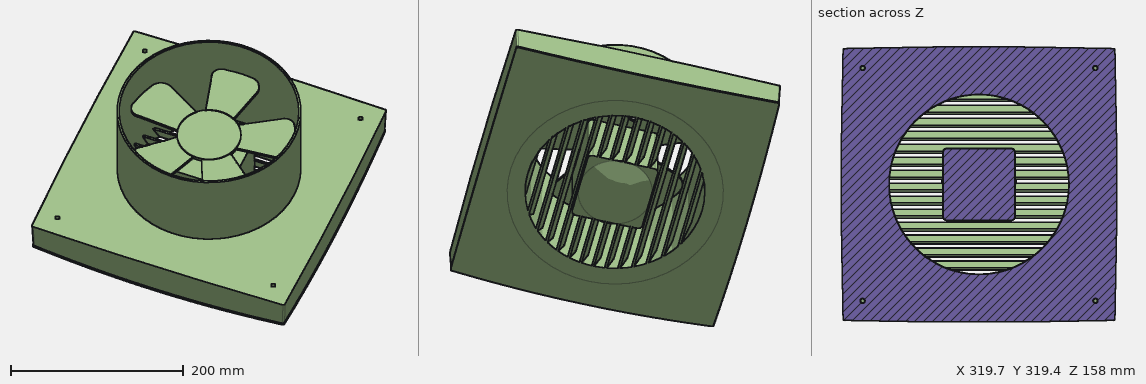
import cadquery as cq
import math


half_width_x = 159.85
half_width_y = 159.7
half_corner = 157.6
corner_radius = 2.0
draft_angle = 2.0
housing_depth = 48.6

parting_z_at_corner = -34.8
parting_z_at_side = -42.8

cover_rim_height = 2.5
cover_inset = 0.9

duct_height = 103.0
duct_outer_radius = 106.3
duct_wall = 2.5
duct_inner_radius = duct_outer_radius - duct_wall

hole_spacing = 269.0
hole_diameter = 5.0
hole_depth = 10.0

slat_pitch = 15.0
slat_count = 14
first_slat_y = -99.1
slat_land = 2.7
slat_run = 8.0
slat_height = 21.0

motor_width = 83.5
motor_corner_radius = 5.0
motor_top = 30.0
dome_radius = 43.0
dome_height = 6.4

hub_radius = 37.0
hub_top = 61.0
hub_thickness = 4.0
shaft_radius = 6.0
blade_count = 5
blade_top = 60.0
blade_thickness = 3.0
blade_tip_radius = 99.0

blade_root_left = (-16.5, 28.0)
blade_left_edge_end = (-29.8, 81.0)
blade_left_corner = (-28.0, 94.0)
blade_tip_left = (-18.0, 97.8)
blade_tip_right = (13.0, 98.2)
blade_right_corner = (24.0, 93.0)
blade_right_edge_end = (27.3, 80.0)
blade_root_right = (16.0, 28.0)


def housing_outline(inset=0.0):
    """Square with four bulging sides, shrunk by `inset` all round."""
    corner = half_corner - inset
    side_x = half_width_x - inset
    side_y = half_width_y - inset
    return (
        cq.Workplane("XY")
        .moveTo(-corner, -corner)
        .threePointArc((0, -side_y), (corner, -corner))
        .threePointArc((side_x, 0), (corner, corner))
        .threePointArc((0, side_y), (-corner, corner))
        .threePointArc((-side_x, 0), (-corner, -corner))
        .close()
    )


def parting_ball(drop=0.0):
    """Ball whose underside is the parting surface, lowered by `drop`."""
    corner_distance = half_corner * math.sqrt(2)
    rise = parting_z_at_corner - parting_z_at_side
    centre_height = (corner_distance**2 - half_width_x**2 - rise**2) / (2 * rise)
    ball_radius = math.hypot(centre_height, half_width_x)
    centre_z = parting_z_at_side + centre_height - drop
    return cq.Workplane("XY", origin=(0, 0, centre_z)).sphere(ball_radius)


def housing():
    """Drafted base closed by a front cover that is domed at its edges and flat in the middle."""
    base = housing_outline().extrude(-housing_depth, taper=draft_angle)
    base = base.faces("<Y or >Y").edges("not(>Z or <Z)").fillet(corner_radius)
    base = base.intersect(parting_ball())
    cover = housing_outline(cover_inset).extrude(-housing_depth).edges("|Z").fillet(corner_radius)
    cover = cover.intersect(parting_ball(cover_rim_height)).cut(parting_ball())
    return base.union(cover)


def mounting_holes():
    return (
        cq.Workplane("XY")
        .rect(hole_spacing, hole_spacing, forConstruction=True)
        .vertices()
        .circle(hole_diameter / 2)
        .extrude(-hole_depth)
    )


def louvre():
    """Slats across the bore, each sloping down to the front towards +Y."""
    slat_zone = cq.Workplane("XY").circle(duct_inner_radius + duct_wall / 2).extrude(-housing_depth)
    top_z = slat_height - housing_depth
    slats = []
    for index in range(slat_count):
        rear_y = first_slat_y + index * slat_pitch
        front_y = rear_y + slat_run
        slat = (
            cq.Workplane("YZ")
            .polyline([
                (rear_y, top_z),
                (rear_y + slat_land, top_z),
                (front_y + slat_land, -housing_depth),
                (front_y, -housing_depth),
            ])
            .close()
            .extrude(duct_outer_radius, both=True)
        )
        slats.append(slat.intersect(slat_zone))
    return slats


def motor():
    box = (
        cq.Workplane("XY", origin=(0, 0, -housing_depth))
        .rect(motor_width, motor_width)
        .extrude(motor_top + housing_depth)
        .edges("|Z")
        .fillet(motor_corner_radius)
    )
    cap_radius = (dome_radius**2 + dome_height**2) / (2 * dome_height)
    middle = dome_radius / 2
    middle_drop = dome_height - cap_radius + math.sqrt(cap_radius**2 - middle**2)
    dome = (
        cq.Workplane("XZ", origin=(0, 0, -housing_depth))
        .lineTo(dome_radius, 0)
        .threePointArc((middle, -middle_drop), (0, -dome_height))
        .close()
        .revolve(360, (0, 0, 0), (0, 1, 0))
    )
    return box.union(dome)


def blade():
    """Flat blade pointing along +Y."""
    return (
        cq.Workplane("XY", origin=(0, 0, blade_top))
        .moveTo(*blade_root_left)
        .lineTo(*blade_left_edge_end)
        .threePointArc(blade_left_corner, blade_tip_left)
        .threePointArc((0, blade_tip_radius), blade_tip_right)
        .threePointArc(blade_right_corner, blade_right_edge_end)
        .lineTo(*blade_root_right)
        .close()
        .extrude(-blade_thickness)
    )


def fan_wheel():
    wheel = cq.Workplane("XY", origin=(0, 0, hub_top)).circle(hub_radius).extrude(-hub_thickness)
    shaft = cq.Workplane("XY", origin=(0, 0, hub_top)).circle(shaft_radius).extrude(motor_top - hub_top)
    wheel = wheel.union(shaft)
    for index in range(blade_count):
        wheel = wheel.union(blade().rotate((0, 0, 0), (0, 0, 1), index * 360 / blade_count))
    return wheel


duct = cq.Workplane("XY").circle(duct_outer_radius).extrude(duct_height)
bore = (
    cq.Workplane("XY", origin=(0, 0, -housing_depth))
    .circle(duct_inner_radius)
    .extrude(housing_depth + duct_height)
)

result = housing().cut(mounting_holes()).union(duct).cut(bore)
for slat in louvre():
    result = result.union(slat)
result = result.union(motor()).union(fan_wheel())